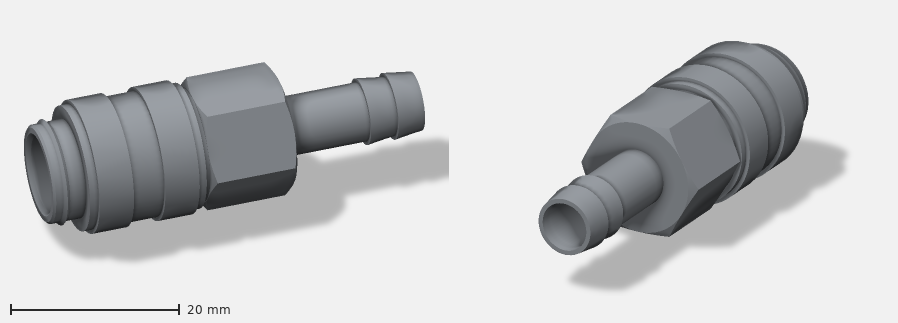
import cadquery as cq
import math


total_length = 47.0
sleeve_start = 4.0
sleeve_end = 18.5
grip_inset = 1.05
grip_width = 4.3
hex_start = 19.18
hex_end = 30.0
barb_length = 3.45
barb_count = 2

nose_radius = 6.0
nose_chamfer = 0.3
sleeve_radius = 7.6
grip_radius = 8.108
neck_radius = 6.9
tail_radius = 3.55
barb_radius = 4.05

bead_center = 1.6
bead_half_width = 0.4
bead_radius = 6.45

hex_across_flats = 14.0
hex_corner_radius = hex_across_flats / math.sqrt(3)
hex_chamfer_radius = hex_across_flats / 2
hex_chamfer_length = 0.55

socket_radius = 4.5
socket_depth = 18.8
mouth_chamfer = 0.5
seat_radius = 3.52
seat_depth = 21.15
bore_radius = 3.0


def cylinder(start, end, radius):
    """Solid cylinder along +Y between two stations."""
    return cq.Workplane("XZ", origin=(0, start, 0)).circle(radius).extrude(start - end)


def revolve_profile(points):
    """Revolve a closed (radius, station) outline about the Y axis."""
    return cq.Workplane("XY").polyline(points).close().revolve(360, (0, 0, 0), (0, 1, 0))


def make_nose():
    nose = cylinder(0, sleeve_start, nose_radius).faces("<Y").chamfer(nose_chamfer)
    bead = revolve_profile([
        (0, bead_center - bead_half_width),
        (nose_radius, bead_center - bead_half_width),
        (bead_radius, bead_center),
        (nose_radius, bead_center + bead_half_width),
        (0, bead_center + bead_half_width),
    ])
    return nose.union(bead)


def make_sleeve():
    sleeve = cylinder(sleeve_start, sleeve_end, sleeve_radius)
    front_grip_start = sleeve_start + grip_inset
    rear_grip_start = sleeve_end - grip_inset - grip_width
    for start in (front_grip_start, rear_grip_start):
        sleeve = sleeve.union(cylinder(start, start + grip_width, grip_radius))
    return sleeve


def make_hex():
    prism = (
        cq.Workplane("XZ", origin=(0, hex_start, 0))
        .polygon(6, 2 * hex_corner_radius)
        .extrude(hex_start - hex_end)
    )
    envelope = revolve_profile([
        (0, hex_start),
        (hex_chamfer_radius, hex_start),
        (hex_corner_radius, hex_start + hex_chamfer_length),
        (hex_corner_radius, hex_end - hex_chamfer_length),
        (hex_chamfer_radius, hex_end),
        (0, hex_end),
    ])
    return prism.intersect(envelope)


def make_tail():
    tail = cylinder(hex_end, total_length, tail_radius)
    for index in range(barb_count):
        tip = total_length - index * barb_length
        base = tip - barb_length
        barb = revolve_profile([(0, base), (barb_radius, base), (tail_radius, tip), (0, tip)])
        tail = tail.union(barb)
    return tail


def make_bore():
    """Chamfered socket, stepped seat and through hole."""
    return revolve_profile([
        (0, 0),
        (socket_radius + mouth_chamfer, 0),
        (socket_radius, mouth_chamfer),
        (socket_radius, socket_depth),
        (seat_radius, socket_depth),
        (seat_radius, seat_depth),
        (bore_radius, seat_depth),
        (bore_radius, total_length),
        (0, total_length),
    ])


neck = cylinder(sleeve_end, hex_start, neck_radius)
body = make_nose().union(make_sleeve()).union(neck).union(make_hex()).union(make_tail())
result = body.cut(make_bore())